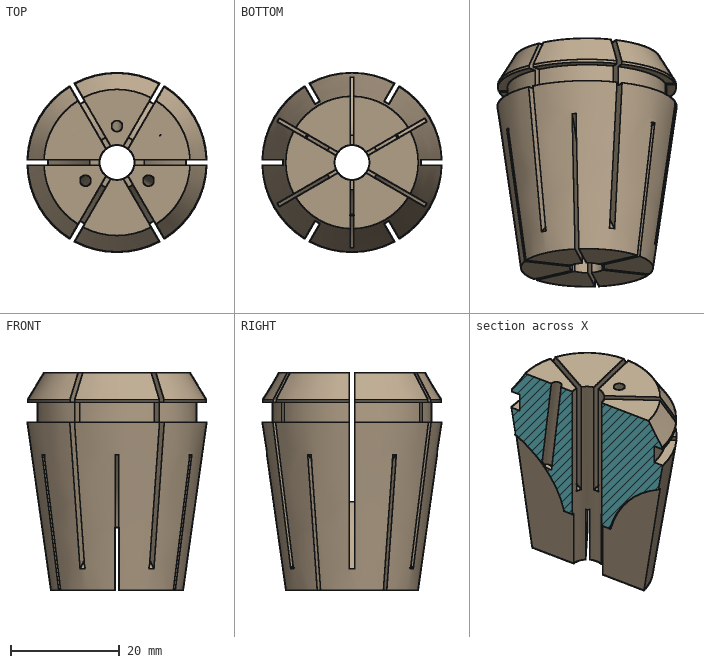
import cadquery as cq
import math

height = 40
body_diameter = 33.0
taper_angle = 8

groove_bottom = 30.9
groove_top = 34.5
groove_diameter = 29.3
head_diameter = 32.8
head_rim_height = 0.5
head_chamfer_angle = 31

bore_diameter = 6.35

slots_per_set = 6
slot_pitch = 360 / slots_per_set
web_radius = 5.0

top_slot_width = 1.0
top_slot_inner_floor = 16.3
top_slot_outer_floor = 4
top_slot_arc_radius = 25.0

bottom_slot_width = 0.7
bottom_slot_inner_roof = 11.5
bottom_slot_outer_roof = 24.9
bottom_slot_arc_radius = 20

tilted_hole_count = 3
tilted_hole_diameter = 2
tilted_hole_depth = 20
tilted_hole_tilt = 6
tilted_hole_radius = 6.7
first_hole_angle = 90

body_radius = body_diameter / 2
head_radius = head_diameter / 2

slot_reach = body_diameter


def cone_radius(z):
    """Outer radius of the tapered body at height z."""
    return body_radius - (groove_bottom - z) * math.tan(math.radians(taper_angle))


def make_body():
    """Revolved collet with its taper, groove, chamfered head and bore."""
    head_rim_top = groove_top + head_rim_height
    chamfer_width = (height - head_rim_top) * math.tan(math.radians(head_chamfer_angle))
    bore_radius = bore_diameter / 2
    groove_radius = groove_diameter / 2
    outline = [
        (bore_radius, 0),
        (cone_radius(0), 0),
        (body_radius, groove_bottom),
        (groove_radius, groove_bottom),
        (groove_radius, groove_top),
        (head_radius, groove_top),
        (head_radius, head_rim_top),
        (head_radius - chamfer_width, height),
        (bore_radius, height),
    ]
    return cq.Workplane("XZ").polyline(outline).close().revolve(360, (0, 0), (0, 1))


def make_slot(width, inner_z, outer_z, arc_radius, open_z):
    """Radial slot along +X, its end flat over the web, then curved to the taper."""
    signed_arc_radius = math.copysign(arc_radius, inner_z - open_z)
    return (
        cq.Workplane("XZ")
        .moveTo(0, open_z)
        .lineTo(0, inner_z)
        .lineTo(web_radius, inner_z)
        .radiusArc((cone_radius(outer_z), outer_z), signed_arc_radius)
        .lineTo(slot_reach, outer_z)
        .lineTo(slot_reach, open_z)
        .close()
        .extrude(width / 2, both=True)
    )


def make_tilted_hole():
    """Hole cutter on the +X side, extended above the face so that its mouth is cut cleanly."""
    cutter = (
        cq.Workplane("XY", origin=(0, 0, -tilted_hole_depth))
        .circle(tilted_hole_diameter / 2)
        .extrude(tilted_hole_depth + tilted_hole_diameter)
    )
    leaning = cutter.rotate((0, 0, 0), (0, 1, 0), -tilted_hole_tilt)
    return leaning.translate((tilted_hole_radius, 0, height))


def cut_around(part, cutter, count, first_angle):
    """Cut equally spaced copies of the cutter around the Z axis."""
    for index in range(count):
        angle = first_angle + index * 360 / count
        part = part.cut(cutter.rotate((0, 0, 0), (0, 0, 1), angle))
    return part


top_slot = make_slot(
    top_slot_width, top_slot_inner_floor, top_slot_outer_floor, top_slot_arc_radius, height
)
bottom_slot = make_slot(
    bottom_slot_width, bottom_slot_inner_roof, bottom_slot_outer_roof, bottom_slot_arc_radius, 0
)

result = make_body()
result = cut_around(result, top_slot, slots_per_set, 0)
result = cut_around(result, bottom_slot, slots_per_set, slot_pitch / 2)
result = cut_around(result, make_tilted_hole(), tilted_hole_count, first_hole_angle)